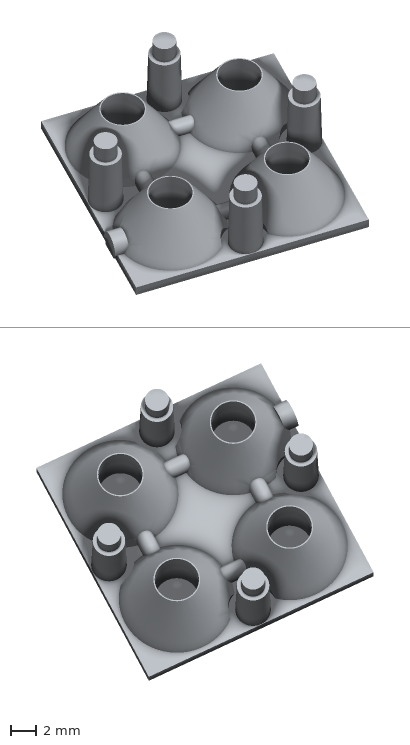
import cadquery as cq

plate_side = 19.9
plate_thickness = 0.85

well_pitch = 10.0
cone_base_radius = 4.6
cone_rim_radius = 1.85
well_radius = 1.75
cone_top_z = 5.0

post_offset = 8.5
post_base_radius = 1.41
post_shoulder_radius = 1.29
post_shoulder_z = 6.0
pin_radius = 0.95
pin_top_z = 7.5
post_clearance_radius = 1.97

bar_axis_z = 1.0
bar_radius = 0.75
stub_radius = 1.15
stub_overhang = 0.25
stub_length = 1.2
foot_bottom_z = 0.32
foot_bottom_half_width = 0.85
foot_top_half_width = 0.97

half_pitch = well_pitch / 2
signs = (-1, 1)
well_centers = [(sx * half_pitch, sy * half_pitch) for sx in signs for sy in signs]
post_centers = [(post_offset, 0), (-post_offset, 0), (0, post_offset), (0, -post_offset)]


def cylinder(center, radius, bottom_z, top_z):
    """Upright cylinder between two heights."""
    return cq.Workplane("XY", origin=(*center, bottom_z)).circle(radius).extrude(top_z - bottom_z)


def frustum(center, bottom_radius, top_radius, bottom_z, top_z):
    """Upright truncated cone between two heights."""
    height = top_z - bottom_z
    solid = cq.Solid.makeCone(bottom_radius, top_radius, height, cq.Vector(*center, bottom_z))
    return cq.Workplane(obj=solid)


def horizontal_bar(start, direction, radius, length):
    """Round horizontal bar at the common bar height."""
    solid = cq.Solid.makeCylinder(radius, length, cq.Vector(*start, bar_axis_z), cq.Vector(*direction))
    return cq.Workplane(obj=solid)


def make_stub():
    """Round stub over the front edge, with a narrower tapered foot below the plate surface."""
    front_y = -plate_side / 2 - stub_overhang
    round_bar = horizontal_bar((half_pitch, front_y), (0, 1, 0), stub_radius, stub_length)
    below_surface = cq.Workplane("XY", origin=(half_pitch, front_y, plate_thickness - 2 * stub_radius)).box(
        2 * stub_radius, 2 * stub_length, 2 * stub_radius, centered=(True, True, False)
    )
    foot = (
        cq.Workplane("XZ", origin=(half_pitch, front_y, 0))
        .moveTo(-foot_bottom_half_width, foot_bottom_z)
        .lineTo(foot_bottom_half_width, foot_bottom_z)
        .lineTo(foot_top_half_width, plate_thickness)
        .lineTo(-foot_top_half_width, plate_thickness)
        .close()
        .extrude(-stub_length)
    )
    return round_bar.cut(below_surface).union(foot)


cones = cq.Workplane("XY")
for center in well_centers:
    cones = cones.union(frustum(center, cone_base_radius, cone_rim_radius, plate_thickness, cone_top_z))
for center in post_centers:
    cones = cones.cut(cylinder(center, post_clearance_radius, plate_thickness, cone_top_z))

plate = cq.Workplane("XY").box(plate_side, plate_side, plate_thickness, centered=(True, True, False))
result = plate.union(cones)

for side in signs:
    along_x = horizontal_bar((-half_pitch, side * half_pitch), (1, 0, 0), bar_radius, well_pitch)
    along_y = horizontal_bar((side * half_pitch, -half_pitch), (0, 1, 0), bar_radius, well_pitch)
    result = result.union(along_x).union(along_y)

result = result.union(make_stub())

for center in well_centers:
    result = result.cut(cylinder(center, well_radius, plate_thickness, cone_top_z))

for center in post_centers:
    result = result.union(
        frustum(center, post_base_radius, post_shoulder_radius, plate_thickness, post_shoulder_z)
    )
    result = result.union(cylinder(center, pin_radius, post_shoulder_z, pin_top_z))